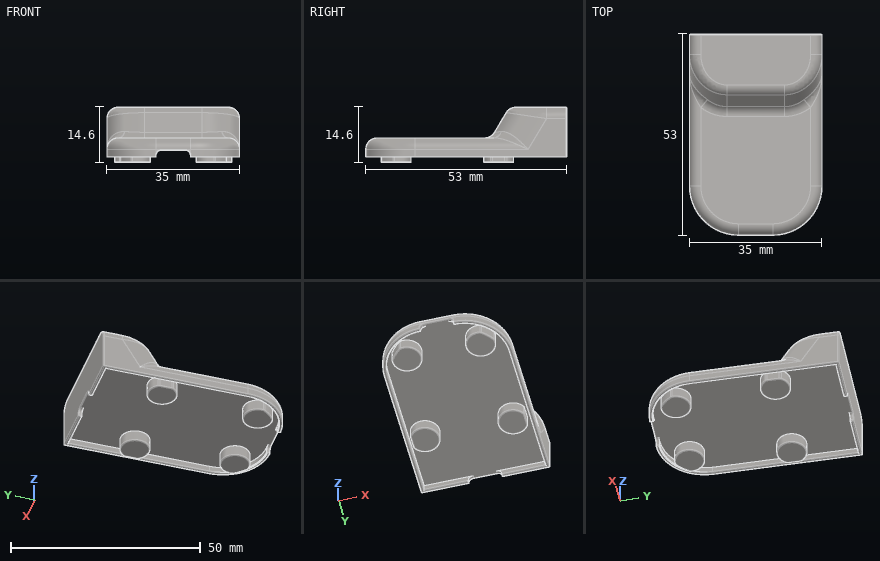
import cadquery as cq
import math

length = 53.0
width = 35.0
body_height = 13.2
slab_height = 5.1
slab_corner_radius = 13.0
edge_radius = 3.0

lean_angle = 31.0
lean_slope = math.tan(math.radians(lean_angle))
block_top_length = 15.1
block_corner_radius = 9.95

rear_edge_radius = 0.3
rim_edge_radius = 0.2

wall = 1.0
recess_depth = 1.8
notch_width = width - 2 * slab_corner_radius
notch_corner_radius = 1.3

foot_height = 1.4
foot_radius = 4.0
foot_corner_radius = 1.0
foot_edge_radius = 0.2
foot_inset = 2.0
front_foot = (10.0, 8.0)
rear_foot = (12.0, 35.05)


def outline(inset, bottom, height):
    """Upright prism of the body outline, moved inwards by inset."""
    prism = (
        cq.Workplane("XY", origin=(0, length / 2, bottom))
        .rect(width - 2 * inset, length - 2 * inset)
        .extrude(height)
    )
    return prism.edges("|Z and <Y").fillet(slab_corner_radius - inset)


def make_slab():
    """Low plate with rounded front corners and top edges."""
    slab = outline(0, 0, slab_height)
    return slab.faces(">Z").edges("not >Y").fillet(edge_radius)


def make_block():
    """Tall rear block with a leaning, round-cornered front face."""
    run = body_height * lean_slope
    block = (
        cq.Workplane("YZ", origin=(-width / 2, 0, 0))
        .moveTo(length, 0)
        .lineTo(length, body_height)
        .lineTo(length - block_top_length, body_height)
        .lineTo(length - block_top_length - run, 0)
        .close()
        .extrude(width)
    )
    block = block.faces("<Y").edges("not |X").fillet(block_corner_radius)
    return block.faces(">Z").edges("not >Y").fillet(edge_radius)


def join_with_blend(slab, block):
    """Unite slab and block, with a hollow blend along the seam that fades out at the sides."""
    seam_y = length - block_top_length - (body_height - slab_height) * lean_slope
    body = slab.union(block)
    seam_start = cq.selectors.NearestToPointSelector((0, seam_y, slab_height))
    return body.edges(seam_start).fillet(edge_radius)


def round_rim(body):
    """Round the front notch mouth, then every edge of the bottom rim."""
    mouth_top = cq.selectors.NearestToPointSelector((0, 0, recess_depth))
    body = body.edges(mouth_top).fillet(rim_edge_radius)
    return body.faces("<Z").edges().fillet(rim_edge_radius)


def make_recess():
    """Shallow underside pocket that leaves a thin wall all round."""
    return outline(wall, 0, recess_depth)


def make_notches():
    """Bar along the whole underside that opens the front and rear walls of the recess."""
    bar = cq.Workplane("XY", origin=(0, length / 2, 0)).box(notch_width, length, 2 * recess_depth)
    return bar.edges("|Y and >Z").fillet(notch_corner_radius)


def make_foot(side, center):
    """Round pad trimmed parallel to the body outline, hanging from the recess ceiling."""
    x, y = center
    height = foot_height + recess_depth
    pad = (
        cq.Workplane("XY", origin=(side * x, y, -foot_height))
        .circle(foot_radius)
        .extrude(height)
        .intersect(outline(foot_inset, -foot_height, height))
    )
    pad = pad.edges("|Z").fillet(foot_corner_radius)
    return pad.faces("<Z").edges().fillet(foot_edge_radius)


body = join_with_blend(make_slab(), make_block())
body = body.faces(">Y").edges().fillet(rear_edge_radius)
body = body.cut(make_notches()).cut(make_recess())
result = round_rim(body)
for side in (-1, 1):
    for center in (front_foot, rear_foot):
        result = result.union(make_foot(side, center))